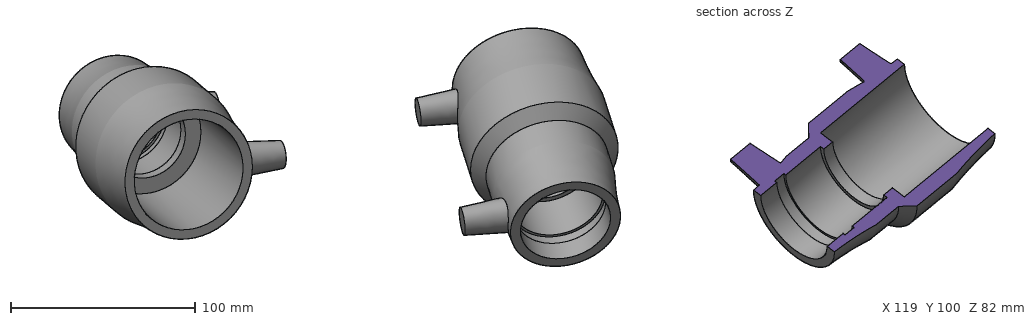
import cadquery as cq
import math

length = 119.0
overall_width = 100.0
small_radius = 68.0 / 2
large_radius = 82.0 / 2
small_mouth_radius = 30.6
large_mouth_radius = 36.9
small_taper_length = 29.3
shoulder_start = 46.6
shoulder_end = shoulder_start + (large_radius - small_radius)
large_taper_start = 84.7
taper_sag = 0.6

bore_radius = 45.0 / 2
small_socket_radius = 50 / 2
large_socket_radius = 63.0 / 2
small_socket_depth = shoulder_start
large_socket_depth = length - shoulder_end

groove_start = 12.6
groove_width = 6.9
groove_depth = 1.4

terminal_inset = 14.3
terminal_tip_radius = 7.7
terminal_draft = 4.6
terminal_root_clearance = 2.1
small_terminal_root = small_socket_radius + terminal_root_clearance
large_terminal_root = large_socket_radius + terminal_root_clearance
small_terminal_tip = 54.3
large_terminal_tip = overall_width - large_radius


def sagged_midpoint(start, end):
    """Middle of a shallow arc that dips below its chord."""
    return ((start[0] + end[0]) / 2, (start[1] + end[1]) / 2 - taper_sag)


def make_body():
    small_mouth = (0, small_mouth_radius)
    small_taper_end = (small_taper_length, small_radius)
    large_taper_end = (large_taper_start, large_radius)
    large_mouth = (length, large_mouth_radius)
    return (
        cq.Workplane("XY")
        .lineTo(*small_mouth)
        .threePointArc(sagged_midpoint(small_mouth, small_taper_end), small_taper_end)
        .lineTo(shoulder_start, small_radius)
        .lineTo(shoulder_end, large_radius)
        .lineTo(*large_taper_end)
        .threePointArc(sagged_midpoint(large_taper_end, large_mouth), large_mouth)
        .lineTo(length, 0)
        .close()
        .revolve(360, (0, 0, 0), (1, 0, 0))
    )


def make_terminal(x, root, tip):
    height = tip - root
    root_radius = terminal_tip_radius + height * math.tan(math.radians(terminal_draft))
    cone = cq.Solid.makeCone(
        root_radius, terminal_tip_radius, height, cq.Vector(x, root, 0), cq.Vector(0, 1, 0)
    )
    return cq.Workplane(cone)


def bore_cylinder(start, depth, radius):
    return cq.Workplane("YZ", origin=(start, 0, 0)).circle(radius).extrude(depth)


result = (
    make_body()
    .union(make_terminal(terminal_inset, small_terminal_root, small_terminal_tip))
    .union(make_terminal(length - terminal_inset, large_terminal_root, large_terminal_tip))
    .cut(bore_cylinder(0, length, bore_radius))
    .cut(bore_cylinder(0, small_socket_depth, small_socket_radius))
    .cut(bore_cylinder(length - large_socket_depth, large_socket_depth, large_socket_radius))
    .cut(bore_cylinder(groove_start, groove_width, small_socket_radius + groove_depth))
)